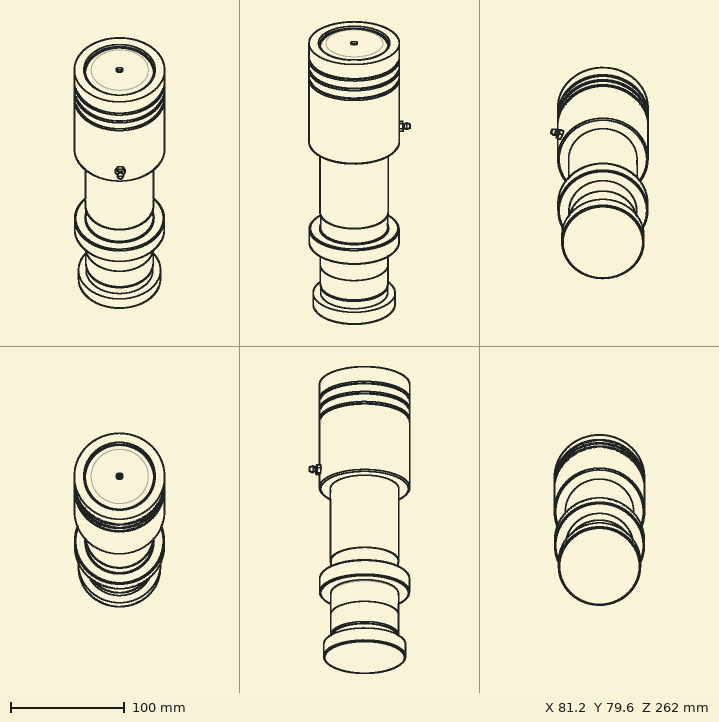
import cadquery as cq
import math

total_height = 262.0

cap_flange_radius = 36.2
cap_flange_height = 12.5
cap_neck_radius = 59.0 / 2
cap_height = 20.0
cap_chamfer = 1.0

post_radius = 60.3 / 2
post_relief_radius = 59.2 / 2
post_fit_radius = 60.0 / 2
post_shank_radius = 59.7 / 2
post_chamfer_radial = 0.8
post_chamfer_axial = 1.5
fit_bottom_z = 41.0
fit_lead_height = 1.3
collar_radius = 39.5
collar_bottom_z = 61.8
collar_height = 15.2
collar_chamfer = 1.0
collar_root_chamfer = 0.8
relief_top_z = 92.7
post_top_fillet = 5.0

centre_mouth_radius = 3.0
centre_drill_radius = 1.5
centre_drill_depth = 5.2

bush_radius = 39.8
bush_height = 100.0
bush_chamfer = 1.3
bore_chamfer = 1.3
groove_depth = 1.0
groove_width = 2.4
groove_count = 3
groove_pitch = 9.7
first_groove_drop = 14.1

nipple_angle = -35.0
nipple_height_on_bush = 15.2
hex_across_flats = 7.5
hex_face_distance = 43.0
thread_radius = 2.5
thread_start_distance = 34.5
nipple_neck_radius = 1.8
nipple_neck_end = 44.3
nipple_head_radius = 3.0
nipple_head_distance = 46.5
nipple_tip_radius = 1.8
nipple_tip_distance = 49.3

bush_bottom_z = total_height - bush_height


def revolve_profile(points):
    """Solid of revolution about Z from (radius, z) points."""
    return cq.Workplane("XZ").polyline(points).close().revolve(360, (0, 0, 0), (0, 1, 0))


def cylinder(radius, bottom_z, top_z):
    return cq.Workplane("XY").workplane(offset=bottom_z).circle(radius).extrude(top_z - bottom_z)


def place_on_bush(shape):
    """Turn a shape built along +Z so that it points radially out of the bush at the nipple."""
    return (
        shape.rotate((0, 0, 0), (0, 1, 0), 90)
        .rotate((0, 0, 0), (0, 0, 1), nipple_angle)
        .translate((0, 0, bush_bottom_z + nipple_height_on_bush))
    )


def make_cap():
    """Flanged cap whose neck meets the lower end of the post."""
    flange = cylinder(cap_flange_radius, 0, cap_flange_height).faces("<Z").chamfer(cap_chamfer)
    return flange.union(cylinder(cap_neck_radius, 0, cap_height))


def make_post():
    """Stepped shaft with a chamfered collar and a relieved neck above it."""
    fit_top_z = collar_bottom_z - fit_lead_height
    collar_top_z = collar_bottom_z + collar_height
    shaft = revolve_profile([
        (0, cap_height),
        (post_shank_radius - post_chamfer_radial, cap_height),
        (post_shank_radius, cap_height + post_chamfer_axial),
        (post_shank_radius, fit_bottom_z),
        (post_fit_radius, fit_bottom_z),
        (post_fit_radius, fit_top_z),
        (post_relief_radius, collar_bottom_z),
        (post_relief_radius, collar_top_z),
        (post_relief_radius + collar_root_chamfer, collar_top_z),
        (post_relief_radius, collar_top_z + collar_root_chamfer),
        (post_relief_radius, relief_top_z),
        (post_radius, relief_top_z),
        (post_radius, total_height),
        (0, total_height),
    ]).faces(">Z").edges().fillet(post_top_fillet)
    collar = cylinder(collar_radius, collar_bottom_z, collar_top_z).edges().chamfer(collar_chamfer)
    return shaft.union(collar).cut(make_centre_hole())


def make_centre_hole():
    """Blind drilled hole with a 45 degree countersink."""
    cone_depth = centre_mouth_radius - centre_drill_radius
    return revolve_profile([
        (0, total_height),
        (centre_mouth_radius, total_height),
        (centre_drill_radius, total_height - cone_depth),
        (centre_drill_radius, total_height - centre_drill_depth),
        (0, total_height - centre_drill_depth),
    ])


def make_groove(top_z):
    """Ring that cuts one V-shaped groove around the bush."""
    return revolve_profile([
        (bush_radius, top_z),
        (bush_radius - groove_depth, top_z - groove_width / 2),
        (bush_radius, top_z - groove_width),
    ])


def make_bush():
    """Sleeve around the top of the post with grooves near its upper end."""
    bush = cylinder(bush_radius, bush_bottom_z, total_height)
    bush = bush.faces("<Z").chamfer(bush_chamfer)
    bush = bush.cut(cylinder(post_radius, bush_bottom_z, total_height))
    bore_edge = cq.selectors.RadiusNthSelector(0)
    bush = bush.faces(">Z").edges(bore_edge).chamfer(bore_chamfer)
    for index in range(groove_count):
        bush = bush.cut(make_groove(total_height - first_groove_drop - index * groove_pitch))
    return bush


def make_nipple():
    """Threaded end in the bush, hexagon on its outside and a tapered head with a neck."""
    corner_diameter = hex_across_flats / math.cos(math.pi / 6)
    hexagon = (
        cq.Workplane("XY")
        .workplane(offset=thread_start_distance)
        .polygon(6, corner_diameter)
        .extrude(hex_face_distance - thread_start_distance)
        .rotate((0, 0, 0), (0, 0, 1), 90)
    )
    hexagon = place_on_bush(hexagon).cut(cylinder(bush_radius, bush_bottom_z, total_height))
    core = revolve_profile([
        (0, thread_start_distance),
        (thread_radius, thread_start_distance),
        (thread_radius, hex_face_distance),
        (nipple_neck_radius, hex_face_distance),
        (nipple_neck_radius, nipple_neck_end),
        (nipple_head_radius, nipple_head_distance),
        (nipple_tip_radius, nipple_tip_distance),
        (0, nipple_tip_distance),
    ])
    return hexagon.union(place_on_bush(core))


cap = make_cap()
post = make_post()
nipple = make_nipple()
bush = make_bush().cut(nipple)

result = cq.Compound.makeCompound([cap.val(), post.val(), bush.val(), nipple.val()])